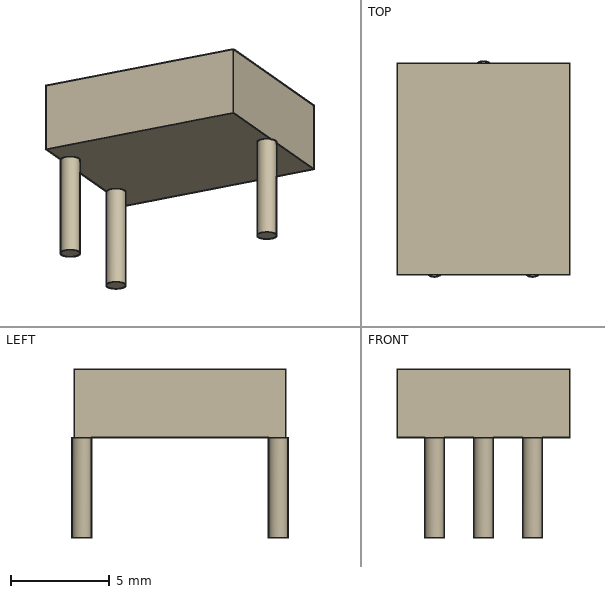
import cadquery as cq

overall_length = 11.0
overall_height = 8.6

housing_width = 8.8
housing_length = 10.79
housing_height = 3.5

pin_diameter = 1.0
pin_length = overall_height - housing_height
pin_offset_x = 2.5
pin_offset_y = (overall_length - pin_diameter) / 2

pin_positions = [
    (-pin_offset_x, -pin_offset_y),
    (pin_offset_x, -pin_offset_y),
    (0, pin_offset_y),
]


def make_housing():
    """Plain rectangular block standing on the XY plane."""
    return cq.Workplane("XY").box(
        housing_width, housing_length, housing_height, centered=(True, True, False)
    )


def make_pin(x, y):
    """Straight round pin, its top face flush with the housing underside."""
    return cq.Workplane("XY").center(x, y).circle(pin_diameter / 2).extrude(-pin_length)


housing = make_housing()
pins = [make_pin(x, y) for x, y in pin_positions]

result = cq.Compound.makeCompound([housing.val(), *[pin.val() for pin in pins]])